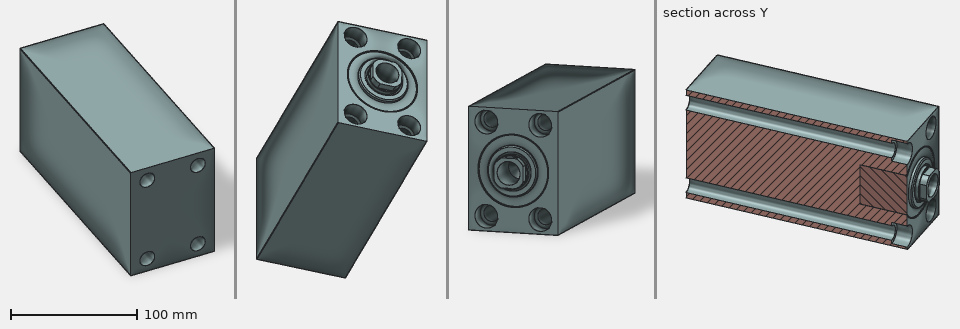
import cadquery as cq
import math

TOTAL_LENGTH = 205.0
ROD_REACH = 11.9
HOUSING_LENGTH = TOTAL_LENGTH - ROD_REACH
HOUSING_WIDTH = 75.0
HOUSING_HEIGHT = 100.0
LONG_EDGE_CHAMFER = 0.5

MOUNT_SPACING_Y = 45.0
MOUNT_SPACING_Z = 76.0
MOUNT_DIAMETER = 13.1
COUNTERBORE_DIAMETER = 19.0
COUNTERBORE_DEPTH = 13.5

MOUTH_CHAMFER = 0.8

GLAND_DIAMETER = 57.6
GLAND_DEPTH = 41.0
NECK_DIAMETER = 41.6
NECK_REACH = 3.3
NECK_CHAMFER = 1.0
WIPER_SEAT_DIAMETER = 31.5
WIPER_SEAT_DEPTH = 1.2

ROD_DIAMETER = 28.0
ROD_CHAMFER = 0.6
ROD_TIP_DIAMETER = 27.5
FLATS_WIDTH = 24.4
FLATS_LENGTH = 5.7
TIP_HOLE_DIAMETER = 19.0
TIP_HOLE_DEPTH = 28.7
DRILL_POINT_ANGLE = 118.0


def cylinder(diameter, start, end):
    """Solid cylinder on the X axis between two X positions."""
    return cq.Workplane("YZ", origin=(start, 0, 0)).circle(diameter / 2).extrude(end - start)


def make_housing():
    """Block with a blind, chamfered gland bore and four counterbored through holes."""
    block = (
        cq.Workplane("XY")
        .box(HOUSING_LENGTH, HOUSING_WIDTH, HOUSING_HEIGHT, centered=(False, True, True))
        .edges("|X").chamfer(LONG_EDGE_CHAMFER)
    )
    bored = (
        block.cut(cylinder(GLAND_DIAMETER, 0, GLAND_DEPTH))
        .faces("<X").edges("%CIRCLE").chamfer(MOUTH_CHAMFER)
    )
    return (
        bored.faces("<X").workplane(centerOption="CenterOfBoundBox")
        .rarray(MOUNT_SPACING_Y, MOUNT_SPACING_Z, 2, 2)
        .cboreHole(MOUNT_DIAMETER, COUNTERBORE_DIAMETER, COUNTERBORE_DEPTH)
    )


def make_gland():
    """Plug and neck, bored for the rod, with a wiper seat around the rod."""
    plug = cylinder(GLAND_DIAMETER, 0, GLAND_DEPTH)
    neck = cylinder(NECK_DIAMETER, -NECK_REACH, GLAND_DEPTH).faces("<X").chamfer(NECK_CHAMFER)
    wiper_seat = cylinder(WIPER_SEAT_DIAMETER, -NECK_REACH, WIPER_SEAT_DEPTH - NECK_REACH)
    bore = cylinder(ROD_DIAMETER, -NECK_REACH, GLAND_DEPTH)
    return plug.union(neck).cut(wiper_seat).cut(bore)


def make_rod():
    """Shaft seated on the gland bore floor, with a four-flat tip that has a drilled hole."""
    shoulder = FLATS_LENGTH - ROD_REACH
    shaft = cylinder(ROD_DIAMETER, shoulder, GLAND_DEPTH).faces("<X").chamfer(ROD_CHAMFER)
    round_tip = cylinder(ROD_TIP_DIAMETER, -ROD_REACH, shoulder + ROD_CHAMFER)
    square = (
        cq.Workplane("YZ", origin=(-ROD_REACH, 0, 0))
        .rect(FLATS_WIDTH, FLATS_WIDTH).extrude(FLATS_LENGTH + ROD_CHAMFER)
    )
    tip = round_tip.intersect(square)
    return shaft.union(tip).cut(make_tip_hole())


def make_tip_hole():
    """Drilled hole in the rod tip, with a conical end."""
    radius = TIP_HOLE_DIAMETER / 2
    hole_end = TIP_HOLE_DEPTH - ROD_REACH
    hole = cylinder(TIP_HOLE_DIAMETER, -ROD_REACH, hole_end)
    point_length = radius / math.tan(math.radians(DRILL_POINT_ANGLE / 2))
    point = cq.Workplane(cq.Solid.makeCone(
        radius, 0, point_length, cq.Vector(hole_end, 0, 0), cq.Vector(1, 0, 0)
    ))
    return hole.union(point)


housing = make_housing()
gland = make_gland()
rod = make_rod()

result = cq.Compound.makeCompound([housing.val(), gland.val(), rod.val()])